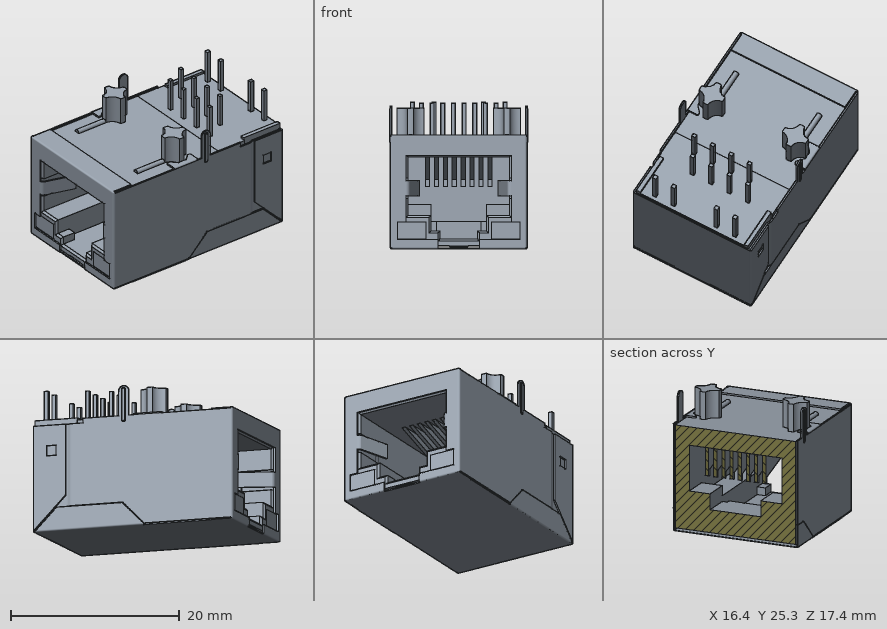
import cadquery as cq
import math

LENGTH = 25.3
HALF_WIDTH = 8.12
SHIELD_TOP = 13.54
SHEET = 0.2
FRONT_Y = -LENGTH / 2
BACK_Y = LENGTH / 2
FRONT_INSIDE = FRONT_Y + SHEET
BACK_INSIDE = BACK_Y - SHEET
SIDE_INSIDE = HALF_WIDTH - SHEET
TOP_INSIDE = SHIELD_TOP - SHEET

BODY_HALF_WIDTH = 7.85
BODY_BOTTOM = 0.38
BODY_TOP = 13.25
INSERT_FRONT = 3.2
INSERT_REAR_HALF_WIDTH = 7.67
INSERT_NARROW_Y = 7.13
INSERT_LIP_Y = 12.57
RAIL_INNER_X = 7.13

CAVITY_HALF_WIDTH = 6.0
CAVITY_TOP = 10.9
LEDGE_TOP = 4.0
CHANNEL_HALF_WIDTH = 3.3
LATCH_STEP_TOP = 2.15
LATCH_STEP_LENGTH = 1.9
LATCH_HALF_WIDTH = 2.23
CAVITY_FLOOR = 1.2
MOUTH_CHAMFER = 0.25
STOP_Y = -0.5
SHOULDER_TOP = 5.25
FLOOR_STOP_TOP = 3.3
STOP_PAD_HALF_WIDTH = 2.65
STOP_PAD_Y = -1.0

OPENING_HALF_WIDTH = 6.25
OPENING_TOP = 11.08
FINGER_BOTTOM = 6.3
FINGER_TOP = 8.12
FINGER_SLOT_MARGIN = 0.3
FINGER_BEND_WIDTH = 0.43
FINGER_BEND_DEPTH = 0.25
FINGER_TIP_X = 4.68
FINGER_TIP_Y = -8.42

LAMP_INNER_X = 3.9
LAMP_OUTER_X = 7.25
LAMP_BOTTOM = 1.21
LAMP_TOP = 3.21
LAMP_LENGTH = 5.05
LAMP_GAP = 0.08
LATCH_GAP_HALF_WIDTH = 2.45

POST_X = 5.72
POST_Y = -1.85
POST_TOP = 16.7
POST_REACH = 1.62
POST_FLUTE_RADIUS = 1.26
RIB_HALF_WIDTH = 0.35
RIB_HEIGHT = 0.35
RIB_FRONT = -7.51
FOOT_LENGTH = 2.53
FOOT_SETBACK = 0.25
FOOT_BASE = 0.23
FOOT_TOP_HALF_WIDTH = 1.16
FOOT_BASE_HALF_WIDTH = 1.0

CONTACT_COUNT = 8
CONTACT_PITCH = 1.05
CONTACT_WIDTH = 0.48
CONTACT_FRONT_Y = -6.32
CONTACT_BEND_Z = 8.22
CONTACT_BOTTOM = 7.41
CONTACT_STEM = 0.5
LAMP_PIN_SIZE = 0.48
LAMP_PIN_TOP = 17.4
LAMP_PIN_Y = 11.87
LAMP_PIN_XS = (-5.5, -2.93, 2.93, 5.5)
SIGNAL_PIN_WIDTH = 0.48
SIGNAL_PIN_DEPTH = 0.4
SIGNAL_PIN_TOP = 17.3
SIGNAL_PIN_PITCH = 2.53
SIGNAL_PINS_PER_ROW = 4
REAR_ROW_Y = 7.05
FRONT_ROW_Y = 4.53
ROW_STAGGER = SIGNAL_PIN_PITCH / 4

FRONT_BEND = 0.28
TOP_STRIP_REAR = -9.87
SIDE_TOP = 13.35
SIDE_BOTTOM = 0.2
BOTTOM_SHEET = 0.15
BOTTOM_HALF_WIDTH = 8.05
JOGGLE_START = 7.67
JOGGLE_END = 8.5
JOGGLE_DEPTH = 0.23
REAR_FLAP_FRONT = JOGGLE_END
REAR_FLAP_TOP = 12.8
REAR_FLAP_CORNER_Z = 4.25
WINDOW_Y = 10.32
WINDOW_Z = 9.75
WINDOW_SIZE = 1.21
SKIRT_TOP = 2.85
SKIRT_GAP = 0.05
SKIRT_FRONT = -1.35
SKIRT_TOP_FRONT = 1.37
SKIRT_REAR_GAP = 0.2
RELIEF = 0.2
RELIEF_Y = 12.42
RELIEF_Z = 0.25
NOTCH_FRONT = 6.3
CLIP_FRONT = -3.57
CLIP_REAR = -0.08
CLIP_CORNER = 0.2
CLIP_INNER_X = 6.63
CLIP_THROAT_X = 7.35
CLIP_MOUTH_HALF = 1.37
CLIP_THROAT_HALF = 0.55
GROUND_PIN_Y = 1.16
GROUND_PIN_WIDTH = 1.26
GROUND_PIN_TOP = 16.95
EMBOSS_BOTTOM = 12.6
EMBOSS_TOP = 16.72
EMBOSS_WIDTH = 0.55
EMBOSS_CREST_WIDTH = 0.35
EMBOSS_HEIGHT = 0.08


def block(x0, x1, y0, y1, z0, z1):
    """Box between two opposite corners."""
    return cq.Workplane("XY").box(x1 - x0, y1 - y0, z1 - z0, centered=False).translate((x0, y0, z0))


def prism_along_y(points, y0, y1):
    """Closed (x, z) outline extruded from y0 to y1."""
    return cq.Workplane("XZ", origin=(0, y0, 0)).polyline(points).close().extrude(y0 - y1)


def prism_along_x(points, x0, x1):
    """Closed (y, z) outline extruded from x0 to x1."""
    return cq.Workplane("YZ", origin=(x0, 0, 0)).polyline(points).close().extrude(x1 - x0)


def mirrored(half):
    """A right-hand feature together with its left-hand twin."""
    return half.union(half.mirror("YZ"))


def both_sides(right_points):
    """Outline through the right-hand points and back through their mirror images."""
    return right_points + [(-x, z) for x, z in reversed(right_points)]


def mouth_outline(growth):
    """Cavity outline at the mouth, grown outwards all round."""
    return both_sides([
        (LATCH_HALF_WIDTH + growth, CAVITY_FLOOR - growth),
        (LATCH_HALF_WIDTH + growth, LATCH_STEP_TOP - growth),
        (CHANNEL_HALF_WIDTH + growth, LATCH_STEP_TOP - growth),
        (CHANNEL_HALF_WIDTH + growth, LEDGE_TOP - growth),
        (CAVITY_HALF_WIDTH + growth, LEDGE_TOP - growth),
        (CAVITY_HALF_WIDTH + growth, CAVITY_TOP + growth),
    ])


def plug_cavity():
    """Cavity for the plug, flared at the mouth and open at the rear to the insert."""
    mouth_end = FRONT_INSIDE + LATCH_STEP_LENGTH
    mouth = prism_along_y(mouth_outline(0), FRONT_INSIDE, mouth_end)
    flare = (
        cq.Workplane("XZ", origin=(0, FRONT_INSIDE, 0))
        .polyline(mouth_outline(MOUTH_CHAMFER)).close()
        .workplane(offset=-MOUTH_CHAMFER)
        .polyline(mouth_outline(0)).close()
        .loft(ruled=True)
    )
    upper = block(-CAVITY_HALF_WIDTH, CAVITY_HALF_WIDTH, mouth_end, INSERT_FRONT, LEDGE_TOP, CAVITY_TOP)
    channel = block(-CHANNEL_HALF_WIDTH, CHANNEL_HALF_WIDTH, mouth_end, INSERT_FRONT, CAVITY_FLOOR, LEDGE_TOP)
    return mouth.union(flare).union(upper).union(channel)


def plug_stops():
    """Shoulders and padded floor block at the rear of the cavity that stop the plug."""
    shoulder = block(CHANNEL_HALF_WIDTH, CAVITY_HALF_WIDTH, STOP_Y, INSERT_FRONT, LEDGE_TOP, SHOULDER_TOP)
    floor_stop = block(-CHANNEL_HALF_WIDTH, CHANNEL_HALF_WIDTH, STOP_Y, INSERT_FRONT,
                       CAVITY_FLOOR, FLOOR_STOP_TOP)
    pad = block(-STOP_PAD_HALF_WIDTH, STOP_PAD_HALF_WIDTH, STOP_PAD_Y, STOP_Y, CAVITY_FLOOR, FLOOR_STOP_TOP)
    return mirrored(shoulder).union(floor_stop).union(pad)


def finger_slots():
    slot = block(CAVITY_HALF_WIDTH, OPENING_HALF_WIDTH, FRONT_INSIDE, FINGER_TIP_Y,
                 FINGER_BOTTOM - FINGER_SLOT_MARGIN, FINGER_TOP + FINGER_SLOT_MARGIN)
    return mirrored(slot)


def board_post():
    """Round post cut to a cross by four round flutes."""
    height = POST_TOP - BODY_TOP
    post = cq.Workplane("XY", origin=(0, 0, BODY_TOP)).circle(POST_REACH).extrude(height)
    corners = [(sx * POST_REACH, sy * POST_REACH) for sx in (-1, 1) for sy in (-1, 1)]
    flutes = (
        cq.Workplane("XY", origin=(0, 0, BODY_TOP))
        .pushPoints(corners).circle(POST_FLUTE_RADIUS).extrude(height)
    )
    return post.cut(flutes).translate((POST_X, POST_Y, 0))


def crush_rib():
    """Round-topped rib on the top face, running forward from inside the post."""
    return (
        cq.Workplane("XZ", origin=(POST_X, POST_Y, BODY_TOP))
        .moveTo(-RIB_HALF_WIDTH, 0).threePointArc((0, RIB_HEIGHT), (RIB_HALF_WIDTH, 0)).close()
        .extrude(POST_Y - RIB_FRONT)
    )


def make_housing():
    body = block(-BODY_HALF_WIDTH, BODY_HALF_WIDTH, FRONT_INSIDE, INSERT_FRONT, BODY_BOTTOM, BODY_TOP)
    foot_front = FRONT_INSIDE + FOOT_SETBACK
    foot = prism_along_y(
        both_sides([(FOOT_BASE_HALF_WIDTH, FOOT_BASE), (FOOT_TOP_HALF_WIDTH, BODY_BOTTOM)]),
        foot_front, foot_front + FOOT_LENGTH,
    )
    body = body.cut(plug_cavity()).union(plug_stops()).cut(finger_slots())
    body = body.cut(mirrored(make_lamp()))
    return body.union(mirrored(board_post())).union(mirrored(crush_rib())).union(foot)


def make_lamp():
    """Right-hand lamp."""
    return block(LAMP_INNER_X, LAMP_OUTER_X, FRONT_INSIDE, FRONT_INSIDE + LAMP_LENGTH, LAMP_BOTTOM, LAMP_TOP)


def contact():
    """Contact on the insert face: its underside slopes down towards the rear."""
    stem_front = INSERT_FRONT - CONTACT_STEM
    side = [
        (INSERT_FRONT, CAVITY_TOP),
        (CONTACT_FRONT_Y, CAVITY_TOP),
        (stem_front, CONTACT_BEND_Z),
        (stem_front, CONTACT_BOTTOM),
        (INSERT_FRONT, CONTACT_BOTTOM),
    ]
    return prism_along_x(side, -CONTACT_WIDTH / 2, CONTACT_WIDTH / 2)


def pin(width, depth, top):
    return cq.Workplane("XY", origin=(0, 0, BODY_TOP)).rect(width, depth).extrude(top - BODY_TOP)


def make_insert():
    front = block(-BODY_HALF_WIDTH, BODY_HALF_WIDTH, INSERT_FRONT, INSERT_NARROW_Y, BODY_BOTTOM, BODY_TOP)
    rear = block(-INSERT_REAR_HALF_WIDTH, INSERT_REAR_HALF_WIDTH,
                 INSERT_NARROW_Y, BACK_INSIDE, BODY_BOTTOM, BODY_TOP)
    lip = block(-INSERT_REAR_HALF_WIDTH, INSERT_REAR_HALF_WIDTH,
                BACK_INSIDE, INSERT_LIP_Y, REAR_FLAP_TOP, BODY_TOP)
    rail = block(RAIL_INNER_X, INSERT_REAR_HALF_WIDTH, INSERT_NARROW_Y, INSERT_LIP_Y, BODY_TOP, SHIELD_TOP)
    insert = front.union(rear).union(lip).union(mirrored(rail))
    for i in range(CONTACT_COUNT):
        x = (i - (CONTACT_COUNT - 1) / 2) * CONTACT_PITCH
        insert = insert.union(contact().translate((x, 0, 0)))
    lamp_pin = pin(LAMP_PIN_SIZE, LAMP_PIN_SIZE, LAMP_PIN_TOP)
    for x in LAMP_PIN_XS:
        insert = insert.union(lamp_pin.translate((x, LAMP_PIN_Y, 0)))
    signal_pin = pin(SIGNAL_PIN_WIDTH, SIGNAL_PIN_DEPTH, SIGNAL_PIN_TOP)
    for row_y, shift in ((REAR_ROW_Y, -ROW_STAGGER), (FRONT_ROW_Y, ROW_STAGGER)):
        for i in range(SIGNAL_PINS_PER_ROW):
            x = (i - (SIGNAL_PINS_PER_ROW - 1) / 2) * SIGNAL_PIN_PITCH + shift
            insert = insert.union(signal_pin.translate((x, row_y, 0)))
    return insert


def front_cap():
    """Front face with the bends to its sides, top strip and bottom."""
    cap = block(-HALF_WIDTH, HALF_WIDTH, FRONT_Y, TOP_STRIP_REAR, 0, SHIELD_TOP)
    cap = cap.edges("|Z and <Y").fillet(FRONT_BEND)
    cap = cap.faces("<Y").edges("|X").fillet(SHEET)
    cap = cap.cut(block(-SIDE_INSIDE, SIDE_INSIDE, FRONT_INSIDE, TOP_STRIP_REAR, BOTTOM_SHEET, TOP_INSIDE))
    seam_front = FRONT_Y + FRONT_BEND
    top_seam = block(BODY_HALF_WIDTH, HALF_WIDTH, seam_front, TOP_STRIP_REAR, SIDE_TOP, SHIELD_TOP)
    bottom_seam = block(SIDE_INSIDE, HALF_WIDTH, seam_front, TOP_STRIP_REAR, BOTTOM_SHEET, SIDE_BOTTOM)
    bottom_edge = block(BOTTOM_HALF_WIDTH, HALF_WIDTH, seam_front, TOP_STRIP_REAR, 0, BOTTOM_SHEET)
    return cap.cut(mirrored(top_seam.union(bottom_seam).union(bottom_edge))).cut(front_opening())


def front_opening():
    """Plug opening, widened for the lamps and open at the bottom below the plug latch."""
    outline = both_sides([
        (LATCH_GAP_HALF_WIDTH, 0),
        (LATCH_GAP_HALF_WIDTH, LAMP_BOTTOM - LAMP_GAP),
        (LAMP_OUTER_X, LAMP_BOTTOM - LAMP_GAP),
        (LAMP_OUTER_X, LAMP_TOP),
        (OPENING_HALF_WIDTH, LAMP_TOP),
        (OPENING_HALF_WIDTH, OPENING_TOP),
    ])
    return prism_along_y(outline, FRONT_Y, FRONT_INSIDE)


def spring_finger():
    """Right-hand finger, bent inwards from the edge of the plug opening."""
    outer_radius = (FINGER_BEND_WIDTH ** 2 + FINGER_BEND_DEPTH ** 2) / (2 * FINGER_BEND_DEPTH)
    inner_radius = outer_radius - SHEET
    turn = math.asin(FINGER_BEND_WIDTH / outer_radius)
    centre_y = FRONT_Y + outer_radius

    def on_bend(radius, angle):
        return OPENING_HALF_WIDTH - radius * math.sin(angle), centre_y - radius * math.cos(angle)

    return (
        cq.Workplane("XY", origin=(0, 0, FINGER_BOTTOM))
        .moveTo(*on_bend(outer_radius, 0))
        .threePointArc(on_bend(outer_radius, turn / 2), on_bend(outer_radius, turn))
        .lineTo(FINGER_TIP_X, FINGER_TIP_Y)
        .lineTo(FINGER_TIP_X + SHEET, FINGER_TIP_Y)
        .lineTo(*on_bend(inner_radius, turn))
        .threePointArc(on_bend(inner_radius, turn / 2), on_bend(inner_radius, 0))
        .close().extrude(FINGER_TOP - FINGER_BOTTOM)
    )


def side_panel():
    """Right-hand side, joggled inwards at the rear by an S-bend to lie under the rear flap."""
    quarter = (JOGGLE_END - JOGGLE_START) / 4
    middle = (JOGGLE_START + JOGGLE_END) / 2
    bend_radius = quarter ** 2 * 4 / JOGGLE_DEPTH + JOGGLE_DEPTH / 4
    rise = bend_radius - math.sqrt(bend_radius ** 2 - quarter ** 2)
    outer_rear = HALF_WIDTH - JOGGLE_DEPTH
    inner_rear = SIDE_INSIDE - JOGGLE_DEPTH
    strip = (
        cq.Workplane("XY")
        .moveTo(HALF_WIDTH, TOP_STRIP_REAR).lineTo(HALF_WIDTH, JOGGLE_START)
        .threePointArc((HALF_WIDTH - rise, JOGGLE_START + quarter), (HALF_WIDTH - JOGGLE_DEPTH / 2, middle))
        .threePointArc((outer_rear + rise, JOGGLE_END - quarter), (outer_rear, JOGGLE_END))
        .lineTo(outer_rear, BACK_INSIDE).lineTo(inner_rear, BACK_INSIDE).lineTo(inner_rear, JOGGLE_END)
        .threePointArc((inner_rear + rise, JOGGLE_END - quarter), (inner_rear + JOGGLE_DEPTH / 2, middle))
        .threePointArc((SIDE_INSIDE - rise, JOGGLE_START + quarter), (SIDE_INSIDE, JOGGLE_START))
        .lineTo(SIDE_INSIDE, TOP_STRIP_REAR).close().extrude(SHIELD_TOP)
    )
    outline = [
        (TOP_STRIP_REAR, SIDE_BOTTOM),
        (SKIRT_FRONT - SKIRT_GAP, SIDE_BOTTOM),
        (SKIRT_TOP_FRONT - SKIRT_GAP, SKIRT_TOP + SKIRT_GAP),
        (BACK_INSIDE, SKIRT_TOP + SKIRT_GAP),
        (BACK_INSIDE, REAR_FLAP_TOP),
        (NOTCH_FRONT, REAR_FLAP_TOP),
        (NOTCH_FRONT, SIDE_TOP),
        (TOP_STRIP_REAR, SIDE_TOP),
    ]
    return strip.intersect(prism_along_x(outline, inner_rear, HALF_WIDTH))


def post_clip():
    """Tab folded over the housing, notched to grip the board post."""
    clip = block(CLIP_INNER_X, HALF_WIDTH, CLIP_FRONT, CLIP_REAR, REAR_FLAP_TOP, SHIELD_TOP)
    clip = clip.edges(">X and >Z").fillet(SHEET)
    clip = clip.edges("|Z and <X and >Y").fillet(CLIP_CORNER)
    clip = clip.cut(block(CLIP_INNER_X, SIDE_INSIDE, CLIP_FRONT, CLIP_REAR, REAR_FLAP_TOP, TOP_INSIDE))
    notch = (
        cq.Workplane("XY", origin=(0, POST_Y, TOP_INSIDE))
        .polyline([
            (CLIP_INNER_X, -CLIP_MOUTH_HALF),
            (CLIP_THROAT_X, -CLIP_THROAT_HALF),
            (CLIP_THROAT_X, CLIP_THROAT_HALF),
            (CLIP_INNER_X, CLIP_MOUTH_HALF),
        ])
        .close().extrude(SHEET)
    )
    return clip.cut(notch)


def ground_pin():
    """Round-ended solder pin standing up from the side, stiffened by an embossed rib."""
    shaft_top = GROUND_PIN_TOP - GROUND_PIN_WIDTH / 2
    half = GROUND_PIN_WIDTH / 2
    blade = (
        cq.Workplane("YZ", origin=(SIDE_INSIDE, GROUND_PIN_Y, 0))
        .moveTo(-half, REAR_FLAP_TOP).lineTo(-half, shaft_top)
        .threePointArc((0, GROUND_PIN_TOP), (half, shaft_top))
        .lineTo(half, REAR_FLAP_TOP).close().extrude(SHEET)
    )
    slope = math.degrees(math.atan2((EMBOSS_WIDTH - EMBOSS_CREST_WIDTH) / 2, EMBOSS_HEIGHT))
    emboss = (
        cq.Workplane("YZ", origin=(HALF_WIDTH, GROUND_PIN_Y, (EMBOSS_BOTTOM + EMBOSS_TOP) / 2))
        .slot2D(EMBOSS_TOP - EMBOSS_BOTTOM, EMBOSS_WIDTH, 90)
        .extrude(EMBOSS_HEIGHT, taper=slope)
    )
    return blade.union(emboss)


def tray_side_cutout():
    """Opening of the tray's right side: below it stays the skirt, behind it the rear flap.

    The skirt and the flap face each other along parallel 45-degree edges.
    """
    flap_edge = REAR_FLAP_FRONT + REAR_FLAP_CORNER_Z
    skirt_edge = flap_edge - SKIRT_REAR_GAP
    outline = [
        (SKIRT_FRONT, SIDE_BOTTOM),
        (SKIRT_TOP_FRONT, SKIRT_TOP),
        (skirt_edge - SKIRT_TOP, SKIRT_TOP),
        (skirt_edge - SHEET, SHEET),
        (flap_edge - SHEET, SHEET),
        (REAR_FLAP_FRONT, REAR_FLAP_CORNER_Z),
        (REAR_FLAP_FRONT, REAR_FLAP_TOP),
        (SKIRT_FRONT, REAR_FLAP_TOP),
    ]
    half = WINDOW_SIZE / 2
    window = block(SIDE_INSIDE, HALF_WIDTH, WINDOW_Y - half, WINDOW_Y + half, WINDOW_Z - half, WINDOW_Z + half)
    return prism_along_x(outline, SIDE_INSIDE, HALF_WIDTH).union(window)


def bottom_and_back():
    """Bottom and back with their side flaps; the corner where the three bends meet is relieved."""
    front_part = block(-BOTTOM_HALF_WIDTH, BOTTOM_HALF_WIDTH, TOP_STRIP_REAR, SKIRT_FRONT, 0, BOTTOM_SHEET)
    tray = block(-HALF_WIDTH, HALF_WIDTH, SKIRT_FRONT, BACK_Y, 0, REAR_FLAP_TOP)
    tray = tray.edges("(<Z and (not <Y)) or (|Z and >Y)").fillet(SHEET)
    tray = tray.cut(block(-SIDE_INSIDE, SIDE_INSIDE, SKIRT_FRONT, BACK_INSIDE, BOTTOM_SHEET, REAR_FLAP_TOP))
    tray = tray.cut(mirrored(tray_side_cutout()))
    half = RELIEF / 2
    relief = block(-HALF_WIDTH, HALF_WIDTH, RELIEF_Y - half, RELIEF_Y + half, RELIEF_Z - half, RELIEF_Z + half)
    back_gap = block(-LATCH_GAP_HALF_WIDTH, LATCH_GAP_HALF_WIDTH, BACK_INSIDE, BACK_Y, BOTTOM_SHEET, BODY_BOTTOM)
    return front_part.union(tray.cut(relief).cut(back_gap))


def make_shield():
    side = side_panel().union(post_clip()).union(ground_pin()).union(spring_finger())
    return front_cap().union(bottom_and_back()).union(mirrored(side))


housing = make_housing()
insert = make_insert()
shield = make_shield()
right_lamp = make_lamp()
left_lamp = right_lamp.mirror("YZ")

result = cq.Compound.makeCompound(
    [housing.val(), insert.val(), shield.val(), right_lamp.val(), left_lamp.val()]
)